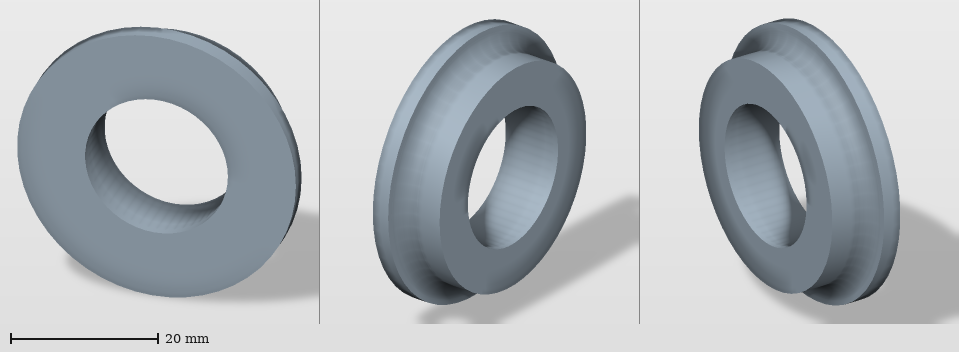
import cadquery as cq

flange_diameter = 39.62
flange_thickness = 2.6
hub_diameter = 33.05
bore_diameter = 20.3
total_length = 8.87
fillet_radius = 2.5


def disc(diameter, length):
    """Cylinder along +Y starting at the flange face."""
    return cq.Workplane("XZ").circle(diameter / 2).extrude(-length)


flange = disc(flange_diameter, flange_thickness)
hub = disc(hub_diameter, total_length)
body = flange.union(hub)

corner_size = hub_diameter / 2
corner = cq.selectors.BoxSelector(
    (-corner_size, flange_thickness / 2, -corner_size),
    (corner_size, (flange_thickness + total_length) / 2, corner_size),
    boundingbox=False,
)
hub_edges = body.edges("%CIRCLE").edges(cq.selectors.RadiusNthSelector(0))
body = hub_edges.edges(corner).fillet(fillet_radius)

result = body.cut(disc(bore_diameter, total_length))